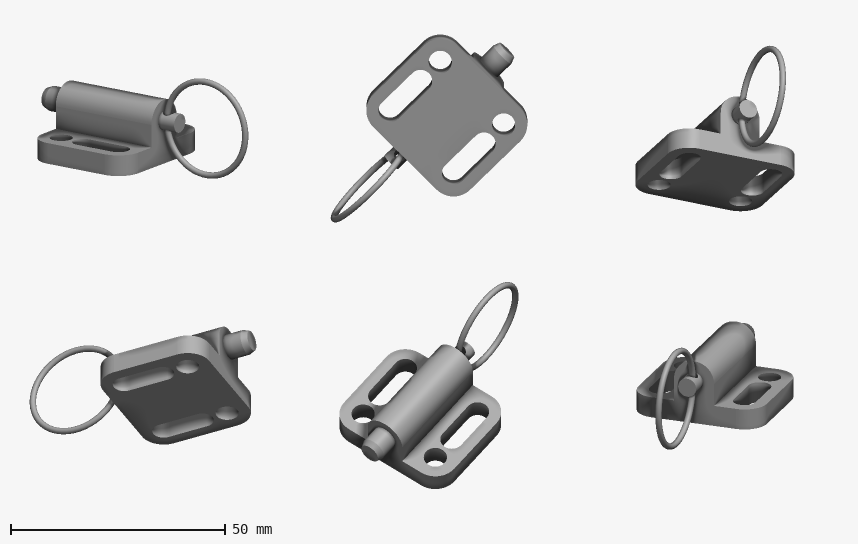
import cadquery as cq


housing_length = 27.5
housing_width = 32.0
plate_thickness = 5.0
corner_radius = 5.5
barrel_radius = 5.0
axis_height = 10.45
mount_diameter = 5.4
slot_length = 15.4

nose_diameter = 6.0
nose_reach = 6.0
nose_chamfer_length = 1.5
nose_chamfer_depth = 0.6
tail_diameter = 4.5
tail_reach = 4.5
shoulder_x = housing_length / 2
ring_hole_diameter = 3.0
ring_hole_x = housing_length + ring_hole_diameter / 2

ring_outer_diameter = 24.0
wire_diameter = 1.5
ring_gap = 0.05

plate_bottom = -axis_height
mount_y = housing_width / 2 - corner_radius
hole_x = corner_radius
slot_end_x = housing_length - corner_radius
slot_x = slot_end_x - (slot_length - mount_diameter) / 2
ring_center_x = housing_length + ring_gap + ring_outer_diameter / 2
ring_mean_radius = (ring_outer_diameter - wire_diameter) / 2


def rod(diameter, start_x, end_x):
    """Round bar on the X axis."""
    return cq.Workplane("YZ", origin=(start_x, 0, 0)).circle(diameter / 2).extrude(end_x - start_x)


def make_stepped_shaft():
    """Nose and tail diameters meeting at the shoulder, with a chamfered nose."""
    nose = rod(nose_diameter, -nose_reach, shoulder_x)
    nose = nose.faces("<X").chamfer(nose_chamfer_length, nose_chamfer_depth)
    tail = rod(tail_diameter, shoulder_x, housing_length + tail_reach)
    return nose.union(tail)


def make_housing(shaft):
    """Flanged plate with a round-topped barrel, bored to fit the shaft."""
    plate = (
        cq.Workplane("XY", origin=(housing_length / 2, 0, plate_bottom))
        .rect(housing_length, housing_width)
        .extrude(plate_thickness)
        .edges("|Z")
        .fillet(corner_radius)
    )
    barrel = (
        cq.Workplane("YZ")
        .moveTo(-barrel_radius, plate_bottom)
        .lineTo(barrel_radius, plate_bottom)
        .lineTo(barrel_radius, 0)
        .threePointArc((0, barrel_radius), (-barrel_radius, 0))
        .close()
        .extrude(housing_length)
    )
    mount_plane = cq.Workplane("XY", origin=(0, 0, plate_bottom))
    holes = (
        mount_plane.pushPoints([(hole_x, -mount_y), (hole_x, mount_y)])
        .circle(mount_diameter / 2)
        .extrude(plate_thickness)
    )
    slots = (
        mount_plane.pushPoints([(slot_x, -mount_y), (slot_x, mount_y)])
        .slot2D(slot_length, mount_diameter)
        .extrude(plate_thickness)
    )
    return plate.union(barrel).cut(holes).cut(slots).cut(shaft)


def make_plunger(shaft):
    """Shaft with a vertical cross hole through the tail for the ring."""
    ring_hole = (
        cq.Workplane("XY", origin=(ring_hole_x, 0, 0))
        .circle(ring_hole_diameter / 2)
        .extrude(tail_diameter, both=True)
    )
    return shaft.cut(ring_hole)


def make_ring():
    """Closed wire ring standing in the XZ plane."""
    center = cq.Vector(ring_center_x, 0, 0)
    axis = cq.Vector(0, 1, 0)
    return cq.Workplane(cq.Solid.makeTorus(ring_mean_radius, wire_diameter / 2, center, axis))


shaft = make_stepped_shaft()
housing = make_housing(shaft)
plunger = make_plunger(shaft)
pull_ring = make_ring()

result = cq.Compound.makeCompound([housing.solids().val(), plunger.solids().val(), pull_ring.val()])